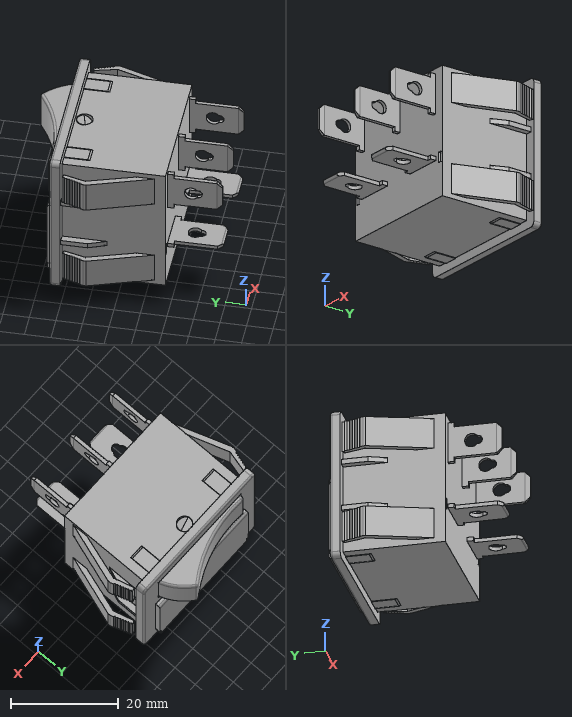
import cadquery as cq
import math


FLANGE_WIDTH = 31.38
FLANGE_HEIGHT = 30.0
FLANGE_THICKNESS = 2.0
FLANGE_CORNER_RADIUS = 1.0
FLANGE_EDGE_RADIUS = 0.4

BODY_WIDTH = 26.95
BODY_HEIGHT = 26.35
BODY_DEPTH = 19.5
BODY_HALF_WIDTH = BODY_WIDTH / 2

TAB_WIDTH = 3.05
TAB_LENGTH = 4.9
TAB_HEIGHT = 0.15
TAB_RAMP = 0.38
TAB_CENTRE_X = 10.05

RIB_THICKNESS = 0.98
RIB_HEIGHT = 1.3
RIB_STRAIGHT_LENGTH = 5.08
RIB_LENGTH = 8.45
RIB_CENTRE_Z = 4.7

CLIP_WIDTH = 6.02
CLIP_CENTRE_Z = 9.18
CLIP_TIP_OUTER = (16.15, -0.5)
CLIP_TIP_INNER = (15.3, -0.7)
CLIP_TEETH_END = (17.3, -4.15)
CLIP_BEND_OUTER = ((17.5, -4.75), (17.5, -5.3))
CLIP_BEND_INNER = (16.4, -4.93)
CLIP_WALL_OUTER_Y = -17.38
CLIP_WALL_INNER_Y = -14.05
CLIP_TEETH = 7
CLIP_TOOTH_DEPTH = 0.25
CLIP_TOOTH_SLOPE = 0.15

SLOT_WIDTH = 0.65
SLOT_HEIGHT = 2.05
SLOT_DEPTH = 1.88
SLOT_CENTRE_X = 12.65
SLOT_CENTRE_Z = -5.05

ROCKER_WIDTH = 7.98
ROCKER_CENTRE_Z = 8.0
ROCKER_RADIUS = 12.15
ROCKER_TILT = 14.9
ROCKER_HALF_ANGLE = 51.8
ROCKER_DISH_DEPTH = 1.75
ROCKER_FLOOR = 1.88
ROCKER_EDGE_RADIUS = 0.5
ROCKER_CLEARANCE = 0.05
PIVOT_Y = -1.75
PIN_DIAMETER = 3.0
PIN_HOLE_DIAMETER = 3.05
PIN_RECESS = 0.2
PIN_RAMP_DROP = 0.75

LENS_WIDTH = 24.83
LENS_TOP_Z = 1.88
LENS_STEP_Z = -11.95
LENS_BOTTOM_Z = -13.58
LENS_STEP = 0.38
LENS_HEIGHT = 1.05
LENS_EDGE_RADIUS = 0.45

TERMINAL_THICKNESS = 0.8
TERMINAL_LENGTH = 10.3
SHOULDER_WIDTH = 8.0
SHOULDER_LENGTH = 1.2
BLADE_WIDTH = 6.25
TIP_CHAMFER = 1.0
TIP_THICKNESS = 0.4
KEYHOLE_DIAMETER = 2.65
KEYHOLE_OFFSET = 4.5
KEYHOLE_NOTCH_DIAMETER = 1.6
KEYHOLE_NOTCH_OFFSET = 5.7
UPRIGHT_SPACING_X = 11.02
UPRIGHT_CENTRE_Z = 8.0
FLAT_CENTRE_X = 7.5
FLAT_CENTRE_Z = -5.0


def block(x_size, y_from, y_to, z_size, x=0.0, z=0.0):
    """Box between two Y levels, centred on x and z."""
    length = abs(y_to - y_from)
    centre = (x, (y_from + y_to) / 2, z)
    return cq.Workplane("XY").box(x_size, length, z_size).translate(centre)


def with_mirror(shape, plane):
    """The shape joined with its mirror image."""
    return shape.union(shape.mirror(plane))


def prism_along_z(outline, width, centre_z):
    """Closed XY outline extruded along Z about centre_z."""
    return outline.extrude(width / 2, both=True).translate((0, 0, centre_z))


def flange():
    plate = block(FLANGE_WIDTH, 0, FLANGE_THICKNESS, FLANGE_HEIGHT)
    plate = plate.edges("|Y").fillet(FLANGE_CORNER_RADIUS)
    return plate.faces(">Y").edges().fillet(FLANGE_EDGE_RADIUS)


def snap_tabs():
    wall_z = BODY_HEIGHT / 2
    tab = (
        cq.Workplane("YZ")
        .moveTo(0, wall_z)
        .lineTo(0, wall_z + TAB_HEIGHT)
        .lineTo(TAB_RAMP - TAB_LENGTH, wall_z + TAB_HEIGHT)
        .lineTo(-TAB_LENGTH, wall_z)
        .close()
        .extrude(TAB_WIDTH / 2, both=True)
        .translate((TAB_CENTRE_X, 0, 0))
    )
    return with_mirror(with_mirror(tab, "YZ"), "XY")


def guide_ribs():
    outline = (
        cq.Workplane("XY")
        .moveTo(BODY_HALF_WIDTH, 0)
        .lineTo(BODY_HALF_WIDTH + RIB_HEIGHT, 0)
        .lineTo(BODY_HALF_WIDTH + RIB_HEIGHT, -RIB_STRAIGHT_LENGTH)
        .lineTo(BODY_HALF_WIDTH, -RIB_LENGTH)
        .close()
    )
    rib = prism_along_z(outline, RIB_THICKNESS, RIB_CENTRE_Z)
    return with_mirror(with_mirror(rib, "YZ"), "XY")


def clip_teeth_points():
    """Saw-tooth points along the outer side of the clip, from its tip to its bend."""
    step_x = (CLIP_TEETH_END[0] - CLIP_TIP_OUTER[0]) / CLIP_TEETH
    step_y = (CLIP_TEETH_END[1] - CLIP_TIP_OUTER[1]) / CLIP_TEETH
    points = [CLIP_TIP_OUTER]
    for tooth in range(1, CLIP_TEETH + 1):
        crest_x = CLIP_TIP_OUTER[0] + tooth * step_x
        crest_y = CLIP_TIP_OUTER[1] + tooth * step_y
        points.append((crest_x - CLIP_TOOTH_DEPTH, crest_y + CLIP_TOOTH_SLOPE))
        points.append((crest_x, crest_y))
    return points


def spring_clips():
    outline = cq.Workplane("XY").polyline(
        [
            (BODY_HALF_WIDTH, CLIP_WALL_INNER_Y),
            CLIP_BEND_INNER,
            CLIP_TIP_INNER,
            *clip_teeth_points(),
            *CLIP_BEND_OUTER,
            (BODY_HALF_WIDTH, CLIP_WALL_OUTER_Y),
        ]
    ).close()
    clip = prism_along_z(outline, CLIP_WIDTH, CLIP_CENTRE_Z)
    return with_mirror(with_mirror(clip, "YZ"), "XY")


def rocker_cavity():
    """Round-sided pocket for the rocker, with a flat floor below its lowest corner."""
    radius = ROCKER_RADIUS + ROCKER_CLEARANCE
    width = ROCKER_WIDTH + 2 * ROCKER_CLEARANCE
    tilt = math.radians(ROCKER_TILT)
    floor_half_width = math.sqrt(ROCKER_RADIUS**2 - ROCKER_FLOOR**2)
    lowest = ROCKER_FLOOR * math.cos(tilt) + floor_half_width * math.sin(tilt)
    floor_y = PIVOT_Y - lowest - ROCKER_CLEARANCE
    disc = prism_along_z(cq.Workplane("XY").center(0, PIVOT_Y).circle(radius), width, ROCKER_CENTRE_Z)
    return disc.intersect(block(2 * radius, floor_y, PIVOT_Y + radius, width, z=ROCKER_CENTRE_Z))


def pin_hole():
    """Bore for the rocker pin through the +Z wall."""
    drill = cq.Workplane("XY").center(0, PIVOT_Y).circle(PIN_HOLE_DIAMETER / 2)
    return drill.extrude(BODY_HEIGHT / 2 - ROCKER_CENTRE_Z).translate((0, 0, ROCKER_CENTRE_Z))


def rear_slots():
    slot = block(SLOT_WIDTH, -BODY_DEPTH, SLOT_DEPTH - BODY_DEPTH, SLOT_HEIGHT, SLOT_CENTRE_X, SLOT_CENTRE_Z)
    return with_mirror(slot, "YZ")


def make_housing():
    body = block(BODY_WIDTH, -BODY_DEPTH, 0, BODY_HEIGHT)
    body = body.union(flange()).union(snap_tabs()).union(guide_ribs()).union(spring_clips())
    return body.cut(rocker_cavity()).cut(pin_hole()).cut(rear_slots())


def rocker_pin():
    """Pivot pin from the middle of the rocker to just below the +Z wall, with half its end ramped."""
    end_z = BODY_HEIGHT / 2 - PIN_RECESS
    pin_radius = PIN_DIAMETER / 2
    pin = cq.Workplane("XY").circle(pin_radius).extrude(end_z - ROCKER_CENTRE_Z)
    pin = pin.translate((0, 0, ROCKER_CENTRE_Z))
    ramp = (
        cq.Workplane("YZ")
        .moveTo(0, end_z)
        .lineTo(-pin_radius, end_z)
        .lineTo(-pin_radius, end_z - PIN_RAMP_DROP)
        .close()
        .extrude(pin_radius, both=True)
    )
    return pin.cut(ramp)


def make_rocker():
    """Disc segment about the pivot with a dished front and rounded horns, tilted to one side."""
    half_angle = math.radians(ROCKER_HALF_ANGLE)
    horn_x = ROCKER_RADIUS * math.sin(half_angle)
    horn_y = ROCKER_RADIUS * math.cos(half_angle)
    floor_x = math.sqrt(ROCKER_RADIUS**2 - ROCKER_FLOOR**2)
    outline = (
        cq.Workplane("XY")
        .moveTo(-floor_x, -ROCKER_FLOOR)
        .lineTo(floor_x, -ROCKER_FLOOR)
        .threePointArc((ROCKER_RADIUS, 0), (horn_x, horn_y))
        .threePointArc((0, horn_y - ROCKER_DISH_DEPTH), (-horn_x, horn_y))
        .threePointArc((-ROCKER_RADIUS, 0), (-floor_x, -ROCKER_FLOOR))
        .close()
    )
    rocker = prism_along_z(outline, ROCKER_WIDTH, ROCKER_CENTRE_Z)
    horn_edges = rocker.edges("|Z and >Y")
    face_edges = rocker.faces("<Z or >Z").edges("not <Y")
    rocker = horn_edges.add(face_edges).fillet(ROCKER_EDGE_RADIUS)
    rocker = rocker.union(rocker_pin())
    return rocker.rotate((0, 0, 0), (0, 0, 1), ROCKER_TILT).translate((0, PIVOT_Y, 0))


def make_lens():
    """Low window on the flange front; its lower strip is slightly narrower."""
    front_y = FLANGE_THICKNESS + LENS_HEIGHT
    full_height = LENS_TOP_Z - LENS_BOTTOM_Z
    upper_height = LENS_TOP_Z - LENS_STEP_Z
    strip_width = LENS_WIDTH - 2 * LENS_STEP
    strip = block(strip_width, FLANGE_THICKNESS, front_y, full_height, z=LENS_TOP_Z - full_height / 2)
    upper = block(LENS_WIDTH, FLANGE_THICKNESS, front_y, upper_height, z=LENS_TOP_Z - upper_height / 2)
    lens = upper.union(strip)
    lens = lens.faces(">Z").edges(">Y").fillet(LENS_EDGE_RADIUS)
    return lens.faces("<Z").edges(">Y").fillet(LENS_EDGE_RADIUS)


def terminal_blade():
    """Flat blade with shoulders, cut corners and a keyhole; it runs from Y = 0 to -Y."""
    half_blade = BLADE_WIDTH / 2
    half_shoulder = SHOULDER_WIDTH / 2
    half_outline = [
        (half_shoulder, 0),
        (half_shoulder, -SHOULDER_LENGTH),
        (half_blade, -SHOULDER_LENGTH),
        (half_blade, TIP_CHAMFER - TERMINAL_LENGTH),
        (half_blade - TIP_CHAMFER, -TERMINAL_LENGTH),
    ]
    other_half = [(-x, y) for x, y in reversed(half_outline)]
    outline = cq.Workplane("XY").polyline(half_outline + other_half).close()
    blade = prism_along_z(outline, TERMINAL_THICKNESS, 0)
    for diameter, offset in (
        (KEYHOLE_DIAMETER, KEYHOLE_OFFSET),
        (KEYHOLE_NOTCH_DIAMETER, KEYHOLE_NOTCH_OFFSET),
    ):
        hole = cq.Workplane("XY").center(0, -offset).circle(diameter / 2)
        blade = blade.cut(prism_along_z(hole, TERMINAL_THICKNESS, 0))
    return blade


def make_upright_terminal():
    """Blade standing in the YZ plane, its tip tapered on both faces."""
    half_thickness = TERMINAL_THICKNESS / 2
    half_tip = TIP_THICKNESS / 2
    taper_start = TIP_CHAMFER - TERMINAL_LENGTH
    envelope = (
        cq.Workplane("YZ")
        .moveTo(0, -half_thickness)
        .lineTo(taper_start, -half_thickness)
        .lineTo(-TERMINAL_LENGTH, -half_tip)
        .lineTo(-TERMINAL_LENGTH, half_tip)
        .lineTo(taper_start, half_thickness)
        .lineTo(0, half_thickness)
        .close()
        .extrude(SHOULDER_WIDTH / 2, both=True)
    )
    return terminal_blade().intersect(envelope).rotate((0, 0, 0), (0, 1, 0), 90)


def make_flat_terminal():
    """Blade lying in the XY plane, its tip fully rounded."""
    half_thickness = TERMINAL_THICKNESS / 2
    round_start = half_thickness - TERMINAL_LENGTH
    envelope = (
        cq.Workplane("YZ")
        .moveTo(0, -half_thickness)
        .lineTo(round_start, -half_thickness)
        .threePointArc((-TERMINAL_LENGTH, 0), (round_start, half_thickness))
        .lineTo(0, half_thickness)
        .close()
        .extrude(SHOULDER_WIDTH / 2, both=True)
    )
    return terminal_blade().intersect(envelope)


housing = make_housing().solids().val()
rocker = make_rocker().solids().val()
lens = make_lens().solids().val()

upright_terminals = []
for side in (-1, 0, 1):
    place = (side * UPRIGHT_SPACING_X, -BODY_DEPTH, UPRIGHT_CENTRE_Z)
    upright_terminals.append(make_upright_terminal().translate(place).solids().val())

flat_terminals = []
for side in (-1, 1):
    place = (side * FLAT_CENTRE_X, -BODY_DEPTH, FLAT_CENTRE_Z)
    flat_terminals.append(make_flat_terminal().translate(place).solids().val())

result = cq.Compound.makeCompound(
    [housing, rocker, lens, *upright_terminals, *flat_terminals]
)